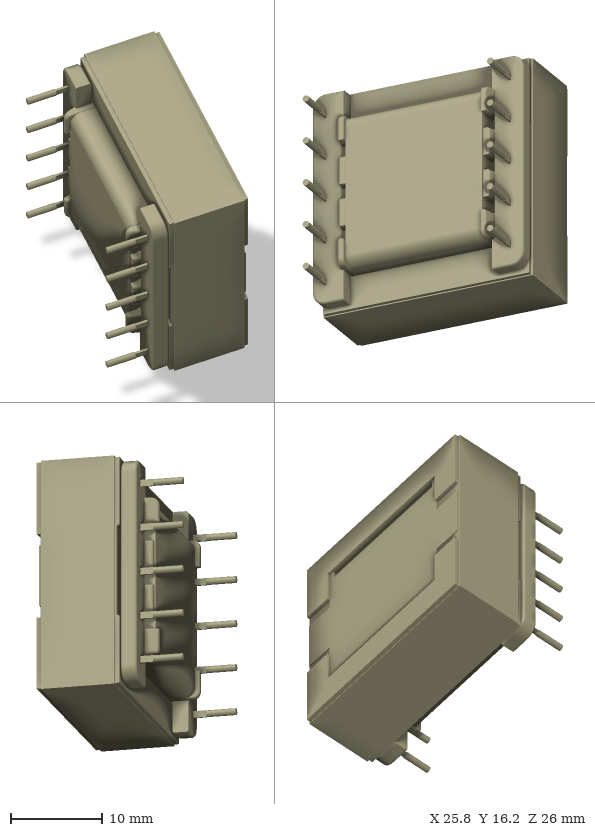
import cadquery as cq


CORE_LENGTH = 25.2
CORE_HEIGHT = 25.7
CORE_DEPTH = 9.35
LEG_WIDTH = 11.43
LEG_THICKNESS = 5.2
FRONT_NOTCH_DEPTH = 0.3
FRONT_NOTCH_HALF_WIDTH = 5.2
FRONT_NOTCH_SIDE_SLANT = 0.18
BACK_NOTCH_DEPTH = 0.29
BACK_NOTCH_WIDTH = 9.5
BACK_NOTCH_SIDE_DEPTH = 0.42
BACK_NOTCH_PAD_WIDTH = 6.85

BAND_LENGTH = 25.6
BAND_HEIGHT = 25.97
BAND_INSET = 0.52

WINDING_LENGTH = 16.72
WINDING_HEIGHT = 17.97
WINDING_FRONT = -2.99
WINDING_BACK = CORE_DEPTH - BACK_NOTCH_DEPTH
WINDING_RADIUS = 1.3
TUBE_WALL = 0.78

WALL_INNER_X = WINDING_LENGTH / 2
WALL_OUTER_X = 9.06
WALL_HEIGHT = WINDING_HEIGHT
TAB_FOOT_X = 9.45
TAB_FLANK_SLOPE = 0.28
CORNER_TAB_FRONT = -3.5
MIDDLE_TAB_FRONT = -2.9
CORNER_TAB_RADIUS = 0.78
TAB_INNER_RADIUS = 0.18
TAB_OUTER_RADIUS = 0.25

RAIL_OUTER_X = 12.9
RAIL_HEIGHT = 25.11
RAIL_FRONT = -2.03
RAIL_BACK = -0.23
RAIL_CORNER_RADIUS = 1.55
RAIL_EDGE_RADIUS = 0.25

PIN_COUNT = 5
PIN_PITCH = 5.0
PIN_X = 11.27
PIN_DIAMETER = 0.75
PIN_NECK_THICKNESS = 0.25
PIN_NECK_END = -3.53
PIN_TIP = -6.88
SLOT_WIDTH = 1.8
SLOT_DEPTH = 1.6

WINDING_MIDDLE = (WINDING_FRONT + WINDING_BACK) / 2


def block(x_range, y_range, z_range):
    """Box between the given limits along each axis."""
    sizes = [high - low for low, high in (x_range, y_range, z_range)]
    corner = (x_range[0], y_range[0], z_range[0])
    return cq.Workplane("XY").box(*sizes, centered=False).translate(corner)


def span(size, middle=0.0):
    """Limits of a length centred on a point."""
    return (middle - size / 2, middle + size / 2)


def prism_along_z(outline, z_range):
    """Straight prism over an outline in X and Y."""
    low, high = z_range
    return cq.Workplane("XY", origin=(0, 0, low)).polyline(outline).close().extrude(high - low)


def make_leg():
    """Centre leg of the core, from one end wall's outer face to the other's."""
    return block(span(2 * WALL_OUTER_X), span(LEG_THICKNESS, WINDING_MIDDLE), span(LEG_WIDTH))


def make_core():
    """Whole core: a closed frame with a centre leg through the winding."""
    core = block(span(CORE_LENGTH), (0, CORE_DEPTH), span(CORE_HEIGHT))
    core = core.cut(block(span(2 * WALL_OUTER_X), (0, CORE_DEPTH), span(WALL_HEIGHT)))

    floor_half_width = FRONT_NOTCH_HALF_WIDTH - FRONT_NOTCH_SIDE_SLANT
    front_notch = (
        cq.Workplane("YZ")
        .polyline(
            [
                (0, -FRONT_NOTCH_HALF_WIDTH),
                (FRONT_NOTCH_DEPTH, -floor_half_width),
                (FRONT_NOTCH_DEPTH, floor_half_width),
                (0, FRONT_NOTCH_HALF_WIDTH),
            ]
        )
        .close()
        .extrude(CORE_LENGTH / 2, both=True)
    )
    back_notch = block(
        span(CORE_LENGTH), (CORE_DEPTH - BACK_NOTCH_SIDE_DEPTH, CORE_DEPTH), span(BACK_NOTCH_WIDTH)
    )
    pad = block(
        span(CORE_LENGTH),
        (CORE_DEPTH - BACK_NOTCH_SIDE_DEPTH, CORE_DEPTH - BACK_NOTCH_DEPTH),
        span(BACK_NOTCH_PAD_WIDTH),
    )
    core = core.cut(front_notch).cut(back_notch.cut(pad))

    return core.union(make_leg())


def make_core_half(side):
    """Half of the core on one side of X = 0."""
    x_range = sorted((0, side * CORE_LENGTH))
    return make_core().intersect(block(x_range, (0, CORE_DEPTH), span(CORE_HEIGHT)))


def make_band():
    """Thin band around the outside of the core."""
    y_range = (BAND_INSET, CORE_DEPTH - BAND_INSET)
    outside = block(span(BAND_LENGTH), y_range, span(BAND_HEIGHT))
    return outside.cut(block(span(CORE_LENGTH), y_range, span(CORE_HEIGHT)))


def make_tube_outside():
    """Outside of the bobbin tube, on which the winding sits."""
    return block(
        span(WINDING_LENGTH),
        span(LEG_THICKNESS + 2 * TUBE_WALL, WINDING_MIDDLE),
        span(LEG_WIDTH + 2 * TUBE_WALL),
    )


def make_winding():
    """Rounded block wound around the bobbin tube."""
    outside = block(span(WINDING_LENGTH), (WINDING_FRONT, WINDING_BACK), span(WINDING_HEIGHT))
    return outside.edges("|X").fillet(WINDING_RADIUS).cut(make_tube_outside())


def make_tab(front, z_range, corner_radius=None):
    """Tab on the right-hand end wall: upright inside, tapered outside, rounded except at its foot."""
    tip_x = TAB_FOOT_X - TAB_FLANK_SLOPE * (RAIL_FRONT - front)
    outline = [(WALL_INNER_X, RAIL_FRONT), (WALL_INNER_X, front), (tip_x, front), (TAB_FOOT_X, RAIL_FRONT)]
    tab = prism_along_z(outline, z_range)
    if corner_radius:
        tab = tab.edges("|X and <Y and >Z").fillet(corner_radius)
    tab = tab.faces("<X").edges("not >Y").fillet(TAB_INNER_RADIUS)
    return tab.faces(">X").edges("not >Y").fillet(TAB_OUTER_RADIUS)


def make_tabs():
    """Upper corner tab and middle tab, mirrored to the lower half."""
    slot_half = SLOT_WIDTH / 2
    corner_tab_span = (PIN_PITCH + slot_half, WALL_HEIGHT / 2)
    corner_tab = make_tab(CORNER_TAB_FRONT, corner_tab_span, CORNER_TAB_RADIUS)
    middle_tab = make_tab(MIDDLE_TAB_FRONT, (slot_half, PIN_PITCH - slot_half))
    upper = corner_tab.add(middle_tab).combine()
    return upper.union(upper.mirror("XY"))


def make_wire_slots():
    """Ramps through the rail and end wall that lead wires out to the middle three pins."""
    outline = [
        (WALL_INNER_X, RAIL_FRONT),
        (TAB_FOOT_X, RAIL_FRONT),
        (WALL_INNER_X, RAIL_FRONT + SLOT_DEPTH),
    ]
    slots = cq.Workplane("XY")
    for row in (-1, 0, 1):
        slots = slots.add(prism_along_z(outline, span(SLOT_WIDTH, row * PIN_PITCH)))
    return slots.combine()


def make_pins():
    """Column of round pins on flat necks."""
    pins = cq.Workplane("XY")
    for row in range(PIN_COUNT):
        z = (row - (PIN_COUNT - 1) / 2) * PIN_PITCH
        neck = block(span(PIN_NECK_THICKNESS, PIN_X), (PIN_NECK_END, RAIL_FRONT), span(PIN_DIAMETER, z))
        shank = (
            cq.Workplane("XZ", origin=(PIN_X, PIN_NECK_END, z))
            .circle(PIN_DIAMETER / 2)
            .extrude(PIN_NECK_END - PIN_TIP)
        )
        pins = pins.add(neck.union(shank))
    return pins.combine()


def make_rail():
    """Pin rail outside the end wall, rounded on its free edges."""
    rail = block((WALL_OUTER_X, RAIL_OUTER_X), (RAIL_FRONT, RAIL_BACK), span(RAIL_HEIGHT))
    rail = rail.edges("|Y and >X").fillet(RAIL_CORNER_RADIUS)
    free_edges = rail.faces("<Y or >Y").edges("not <X")
    return free_edges.fillet(RAIL_EDGE_RADIUS)


def make_bobbin():
    """Tube with an end wall, tabs, rail and pins at each end."""
    wall = block((WALL_INNER_X, WALL_OUTER_X), (RAIL_FRONT, WINDING_BACK), span(WALL_HEIGHT))
    wall = wall.edges("|Y and <X").fillet(TAB_INNER_RADIUS)
    end = wall.union(make_rail()).cut(make_wire_slots()).union(make_tabs()).union(make_pins())
    return make_tube_outside().union(end).union(end.mirror("YZ")).cut(make_leg())


core_halves = [make_core_half(side) for side in (-1, 1)]
band = make_band()
winding = make_winding()
bobbin = make_bobbin()

result = cq.Compound.makeCompound(
    [*[half.val() for half in core_halves], band.val(), winding.val(), bobbin.val()]
)